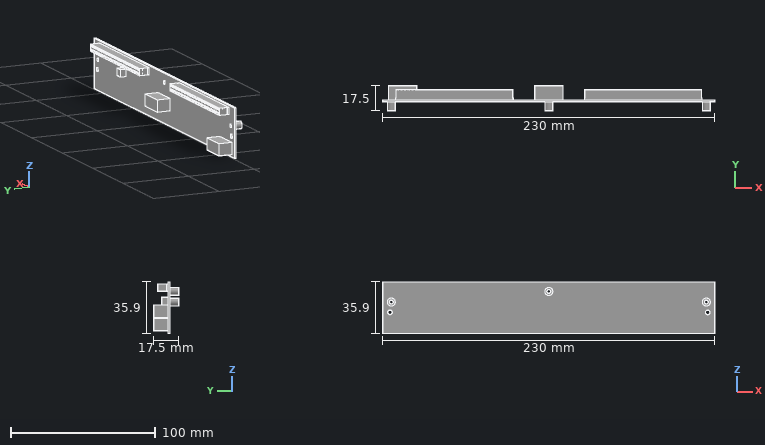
import cadquery as cq

board_length = 230.0
board_height = 35.9
board_thickness = 1.43

total_depth = 17.5
block_depth = 10.0

standoff_length = total_depth - board_thickness - block_depth
standoff_diameter = 5.5
standoff_bore = 2.5
side_standoff_x = 109.0
side_standoff_z = 21.8
middle_standoff_z = 29.2
standoff_centres = [
    (-side_standoff_x, side_standoff_z),
    (0, middle_standoff_z),
    (side_standoff_x, side_standoff_z),
]

plain_hole_diameter = 3.0
plain_hole_x = 110.0
plain_hole_z = 14.7

block_length = 19.8
block_height = 8.7
end_block_x = -101.2
end_block_z = 6.2
block_gap_z = 0.58
middle_block_z = end_block_z + block_height + block_gap_z

header_x = 65.3
header_height = 5.0
header_edge_margin = 1.5
header_z = board_height - header_edge_margin - header_height / 2
header_depth = 7.1
foot_depth = 1.2
foot_lip = 0.2
socket_pitch = 2.5
socket_columns = 32
socket_rows = 2
socket_side = 0.74
socket_depth = 3.0
header_length = socket_columns * socket_pitch

chip_depth = 4.4
chip_height = 5.3
chip_length = chip_height
chip_z = middle_block_z + block_height / 2 + chip_height / 2


def box_from(y, x, z, length, depth, height):
    """Box centred on x and z that runs from y toward +Y."""
    return cq.Workplane("XY").box(length, depth, height).translate((x, y + depth / 2, z))


def cylinders(centres, diameter, y_start, y_end):
    """Cylinders along Y, centred on the given (x, z) points."""
    return (
        cq.Workplane("XZ", origin=(0, y_start, 0))
        .pushPoints(centres)
        .circle(diameter / 2)
        .extrude(y_start - y_end)
    )


def make_header(x):
    """Header on its foot, with a grid of square sockets in the back face."""
    foot_length = header_length + 2 * foot_lip
    foot = box_from(board_thickness, x, header_z, foot_length, foot_depth, header_height)
    body = box_from(board_thickness, x, header_z, header_length, header_depth, header_height)
    sockets = (
        cq.Workplane("XZ", origin=(x, board_thickness + header_depth, header_z))
        .rarray(socket_pitch, socket_pitch, socket_columns, socket_rows)
        .rect(socket_side, socket_side)
        .extrude(socket_depth)
    )
    return body.cut(sockets).union(foot)


def make_board():
    """Board with its standoffs, blocks, headers and through holes."""
    body = box_from(0, 0, board_height / 2, board_length, board_thickness, board_height)
    body = body.union(cylinders(standoff_centres, standoff_diameter, -standoff_length, 0))
    for x, z in [(end_block_x, end_block_z), (0, middle_block_z)]:
        body = body.union(box_from(board_thickness, x, z, block_length, block_depth, block_height))
    for x in (-header_x, header_x):
        body = body.union(make_header(x))
    body = body.cut(cylinders(standoff_centres, standoff_bore, -standoff_length, board_thickness))
    plain_hole_centres = [(-plain_hole_x, plain_hole_z), (plain_hole_x, plain_hole_z)]
    return body.cut(cylinders(plain_hole_centres, plain_hole_diameter, 0, board_thickness))


def make_chip():
    """Plain box seated on the back face of the board."""
    return box_from(board_thickness, header_x, chip_z, chip_length, chip_depth, chip_height)


board = make_board()
chip = make_chip()

result = cq.Compound.makeCompound([board.val(), chip.val()])